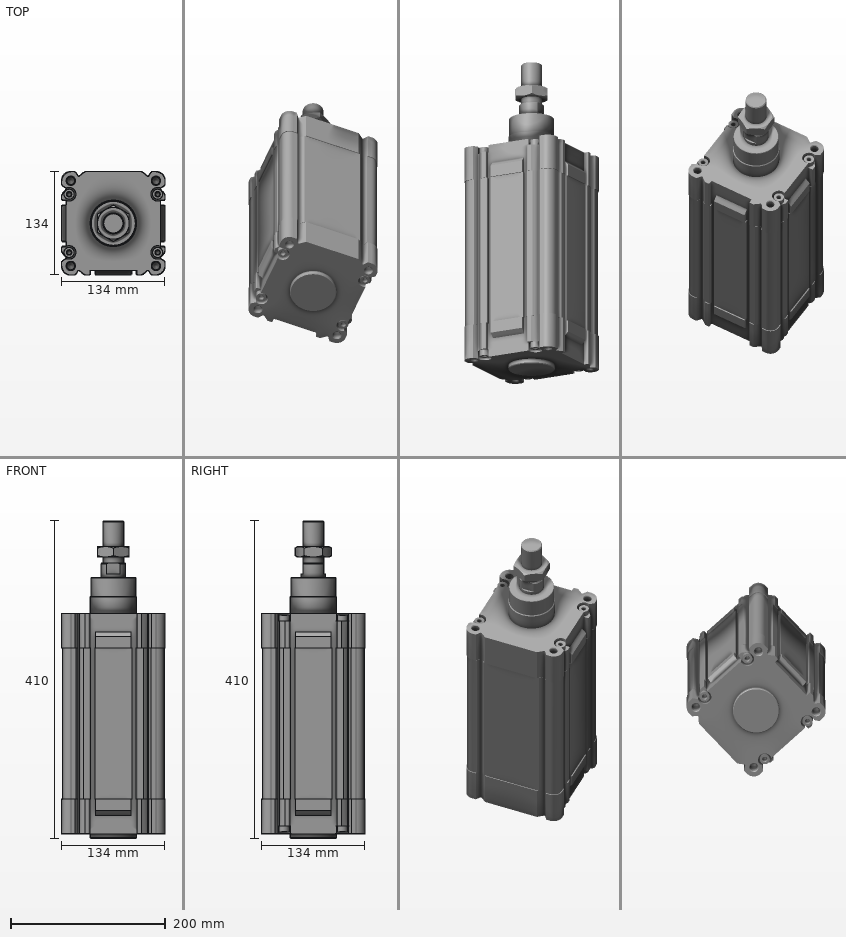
import cadquery as cq
import math

BODY_LENGTH = 285.0
COVER_LENGTH = 45.0
COVER_HALF = 67.0
BARREL_HALF = 66.0
CORNER_CENTER = 55.0
FLOOR = 61.0

GROOVE_FLOOR_OUTER = 45.4
GROOVE_FLOOR_INNER = 44.0
COVER_GROOVE_OUTER = 49.6
COVER_GROOVE_INNER = 36.5
BARREL_GROOVE_OUTER = 48.4
BARREL_GROOVE_INNER = 38.7

COVER_RECESS_HALF = 30.3
RECESS_FILLET = 1.2
BARREL_RECESS_HALF = 29.2
PAD_HALF = 23.0
PAD_START = 24.0
PANEL_HALF = 24.0
PANEL_FACE = 65.4
RECESS_ANGLES = (-90, 0, 180)

CORNER_HOLE_DIAMETER = 10.11
CORNER_HOLE_MOUTH = 12.0
CORNER_HOLE_DEPTH = 24.0
DRILL_POINT_ANGLE = 118.0

SCREW_X = 57.2
SCREW_Y = 37.6
COUNTERBORE_DIAMETER = 17.6
OPENING_WIDTH = 15.0
COUNTERBORE_DEPTH = 10.0
SCREW_HEAD_DIAMETER = 13.0
SCREW_HEAD_SINK = 2.5
SCREW_HOLE_DIAMETER = 5.8
SCREW_HOLE_MOUTH = 7.0
SCREW_HOLE_DEPTH = 12.0

GUIDE_DIAMETER = 60.0
GUIDE_TOP = BODY_LENGTH + 22.0
COLLAR_DIAMETER = 58.0
COLLAR_TOP = BODY_LENGTH + 46.0
COLLAR_CHAMFER = 0.6
SPIGOT_LENGTH = 6.0
SPIGOT_CHAMFER = 1.0

ROD_DIAMETER = 32.0
ROD_BOTTOM = BODY_LENGTH - COVER_LENGTH
ROD_SHOULDER = BODY_LENGTH + 65.0
ROD_CHAMFER = 1.0
FLATS_WIDTH = 27.0
FLATS_LENGTH = 14.0
THREAD_DIAMETER = 27.0
THREAD_LENGTH = 54.0
THREAD_TIP_DIAMETER = 24.84

NUT_ACROSS_FLATS = 41.0
NUT_HEIGHT = 13.5
NUT_BOTTOM = ROD_SHOULDER + 7.7
NUT_CHAMFER_ANGLE = 30.0


def cylinder(diameter, bottom, top):
    return cq.Workplane("XY").workplane(offset=bottom).circle(diameter / 2).extrude(top - bottom)


def rounded_block(half, bottom, height):
    """Square block whose corner arcs are centered on the corner holes."""
    block = cq.Workplane("XY").workplane(offset=bottom).rect(2 * half, 2 * half).extrude(height)
    return block.edges("|Z").fillet(half - CORNER_CENTER)


def corner_grooves(half, outer, inner, bottom, height):
    """Eight V grooves, two on each side of the square section."""
    profile = [
        (half, outer),
        (FLOOR, GROOVE_FLOOR_OUTER),
        (FLOOR, GROOVE_FLOOR_INNER),
        (half, inner),
    ]
    groove = cq.Workplane("XY").workplane(offset=bottom).polyline(profile).close().extrude(height)
    pair = groove.union(groove.mirror("XZ"))
    grooves = pair
    for angle in (90, 180, 270):
        grooves = grooves.union(pair.rotate((0, 0, 0), (0, 0, 1), angle))
    return grooves


def side_blocks(inner, outer, half_width, bottom, height):
    """Matching boxes on the recessed sides, from one distance to another off the axis."""
    block = (
        cq.Workplane("XY")
        .box(outer - inner, 2 * half_width, height, centered=(True, True, False))
        .translate(((inner + outer) / 2, 0, bottom))
    )
    return [block.rotate((0, 0, 0), (0, 0, 1), angle) for angle in RECESS_ANGLES]


def cut_recesses(body, half, recess_half, bottom, height):
    """Cut the side recesses and round the two outer edges of each one."""
    for recess in side_blocks(FLOOR, half, recess_half, bottom, height):
        body = body.cut(recess)
    for angle in RECESS_ANGLES:
        for edge in (-recess_half, recess_half):
            turn = math.radians(angle)
            x = half * math.cos(turn) - edge * math.sin(turn)
            y = half * math.sin(turn) + edge * math.cos(turn)
            outer_edge = cq.selectors.NearestToPointSelector((x, y, bottom + height / 2))
            body = body.edges(outer_edge).fillet(RECESS_FILLET)
    return body


def drilled_hole(diameter, mouth, depth, top):
    """Revolved blind hole, cut down from z = top: chamfered mouth, drill-point bottom."""
    radius = diameter / 2
    mouth_radius = mouth / 2
    point = radius / math.tan(math.radians(DRILL_POINT_ANGLE / 2))
    return (
        cq.Workplane("XZ")
        .moveTo(0, top)
        .lineTo(mouth_radius, top)
        .lineTo(radius, top - (mouth_radius - radius))
        .lineTo(radius, top - depth)
        .lineTo(0, top - depth - point)
        .close()
        .revolve(360, (0, 0), (0, 1))
    )


def at_four(shape, x, y):
    return [shape.translate((sx * x, sy * y, 0)) for sx in (-1, 1) for sy in (-1, 1)]


def make_pad():
    """Pad on the recess floor, with a 45 degree ramp at the end facing the cover's end face."""
    rise = COVER_HALF - FLOOR
    start = COVER_LENGTH - PAD_START
    return (
        cq.Workplane("XZ")
        .moveTo(FLOOR, 0)
        .lineTo(COVER_HALF, 0)
        .lineTo(COVER_HALF, start - rise)
        .lineTo(FLOOR, start)
        .close()
        .extrude(PAD_HALF, both=True)
    )


def make_cover():
    """Cover standing on z = 0 with its end face at z = COVER_LENGTH."""
    cover = rounded_block(COVER_HALF, 0, COVER_LENGTH)
    cover = cover.cut(
        corner_grooves(COVER_HALF, COVER_GROOVE_OUTER, COVER_GROOVE_INNER, 0, COVER_LENGTH)
    )
    cover = cut_recesses(cover, COVER_HALF, COVER_RECESS_HALF, 0, COVER_LENGTH)
    pad = make_pad()
    for angle in RECESS_ANGLES:
        cover = cover.union(pad.rotate((0, 0, 0), (0, 0, 1), angle))

    corner_hole = drilled_hole(
        CORNER_HOLE_DIAMETER, CORNER_HOLE_MOUTH, CORNER_HOLE_DEPTH, COVER_LENGTH
    )
    for hole in at_four(corner_hole, CORNER_CENTER, CORNER_CENTER):
        cover = cover.cut(hole)

    counterbore_floor = COVER_LENGTH - COUNTERBORE_DEPTH
    head_top = COVER_LENGTH - SCREW_HEAD_SINK
    counterbore = cylinder(COUNTERBORE_DIAMETER, counterbore_floor, COVER_LENGTH)
    opening = (
        cq.Workplane("XY")
        .box(COUNTERBORE_DIAMETER, OPENING_WIDTH, COUNTERBORE_DEPTH, centered=(False, True, False))
        .translate((0, 0, counterbore_floor))
    )
    counterbore = counterbore.union(opening)
    head = cylinder(SCREW_HEAD_DIAMETER, counterbore_floor, head_top)
    screw_hole = drilled_hole(SCREW_HOLE_DIAMETER, SCREW_HOLE_MOUTH, SCREW_HOLE_DEPTH, head_top)
    pocket = counterbore.translate((SCREW_X, SCREW_Y, 0))
    pockets = pocket.union(pocket.mirror("XZ"))
    cover = cover.cut(pockets).cut(pockets.mirror("YZ"))
    for screw in at_four(head, SCREW_X, SCREW_Y):
        cover = cover.union(screw)
    for hole in at_four(screw_hole, SCREW_X, SCREW_Y):
        cover = cover.cut(hole)
    return cover


def make_barrel():
    bottom = COVER_LENGTH
    length = BODY_LENGTH - 2 * COVER_LENGTH
    barrel = rounded_block(BARREL_HALF, bottom, length)
    barrel = barrel.cut(
        corner_grooves(BARREL_HALF, BARREL_GROOVE_OUTER, BARREL_GROOVE_INNER, bottom, length)
    )
    barrel = cut_recesses(barrel, BARREL_HALF, BARREL_RECESS_HALF, bottom, length)
    for panel in side_blocks(FLOOR, PANEL_FACE, PANEL_HALF, bottom, length):
        barrel = barrel.union(panel)
    return barrel


def make_housing():
    cover = make_cover()
    top_cover = cover.translate((0, 0, BODY_LENGTH - COVER_LENGTH))
    bottom_cover = cover.mirror("XY").translate((0, 0, COVER_LENGTH))
    guide = cylinder(GUIDE_DIAMETER, BODY_LENGTH, GUIDE_TOP)
    guide_step = (GUIDE_DIAMETER - COLLAR_DIAMETER) / 2
    guide = guide.faces(">Z").edges().chamfer(guide_step)
    collar = cylinder(COLLAR_DIAMETER, BODY_LENGTH, COLLAR_TOP)
    collar = collar.faces(">Z").edges().chamfer(COLLAR_CHAMFER)
    spigot = cylinder(GUIDE_DIAMETER, -SPIGOT_LENGTH, 0).faces("<Z").edges().chamfer(SPIGOT_CHAMFER)
    housing = make_barrel().union(top_cover).union(bottom_cover)
    housing = housing.union(guide).union(collar).union(spigot)
    return housing.cut(cylinder(ROD_DIAMETER, ROD_BOTTOM, COLLAR_TOP))


def make_rod():
    rod = cylinder(ROD_DIAMETER, ROD_BOTTOM, ROD_SHOULDER).faces(">Z").edges().chamfer(ROD_CHAMFER)
    for side in (-1, 1):
        flat = (
            cq.Workplane("XY")
            .box(ROD_DIAMETER, ROD_DIAMETER, FLATS_LENGTH, centered=(True, True, False))
            .translate((0, side * (FLATS_WIDTH + ROD_DIAMETER) / 2, ROD_SHOULDER - FLATS_LENGTH))
        )
        rod = rod.cut(flat)
    thread = cylinder(THREAD_DIAMETER, ROD_SHOULDER, ROD_SHOULDER + THREAD_LENGTH)
    thread = thread.faces(">Z").edges().chamfer((THREAD_DIAMETER - THREAD_TIP_DIAMETER) / 2)
    return rod.union(thread)


def make_nut():
    """Hexagon nut with two corners on the Y axis and both faces chamfered at the corners."""
    corner_radius = NUT_ACROSS_FLATS / math.sqrt(3)
    face_radius = NUT_ACROSS_FLATS / 2
    drop = (corner_radius - face_radius) * math.tan(math.radians(NUT_CHAMFER_ANGLE))
    hexagon = (
        cq.Workplane("XY").polygon(6, 2 * corner_radius).extrude(NUT_HEIGHT)
        .rotate((0, 0, 0), (0, 0, 1), 90)
    )
    envelope = (
        cq.Workplane("XZ")
        .moveTo(0, 0)
        .lineTo(face_radius, 0)
        .lineTo(corner_radius, drop)
        .lineTo(corner_radius, NUT_HEIGHT - drop)
        .lineTo(face_radius, NUT_HEIGHT)
        .lineTo(0, NUT_HEIGHT)
        .close()
        .revolve(360, (0, 0), (0, 1))
    )
    nut = hexagon.intersect(envelope).cut(cylinder(THREAD_DIAMETER, 0, NUT_HEIGHT))
    return nut.translate((0, 0, NUT_BOTTOM))


housing = make_housing()
rod = make_rod()
nut = make_nut()

result = cq.Compound.makeCompound([housing.val(), rod.val(), nut.val()])